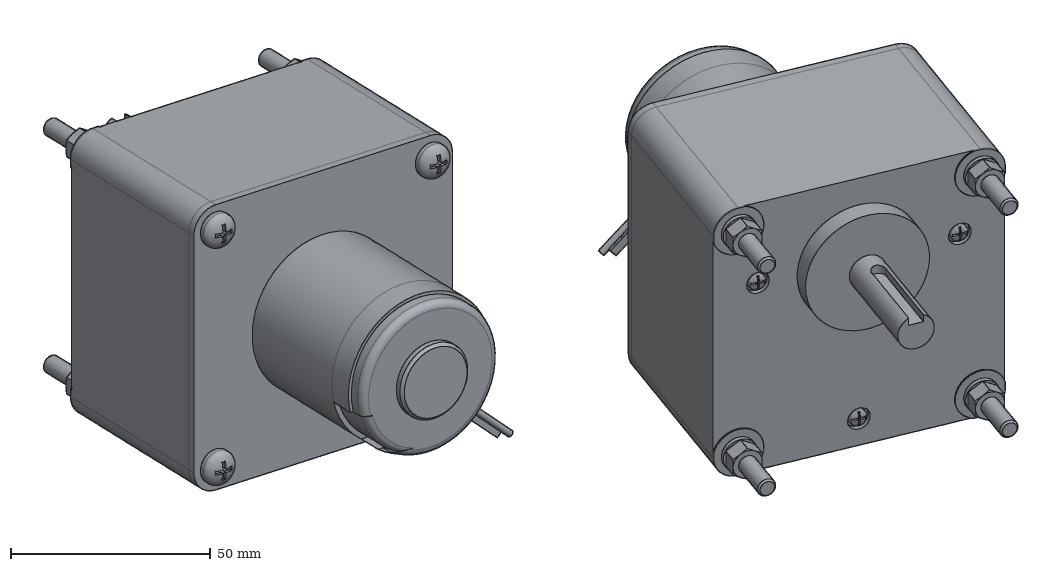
import cadquery as cq
import math

box_side = 80.0
box_corner_radius = 6.75
housing_length = 50.5
cover_thickness = 2.1
box_back = housing_length + cover_thickness

shaft_offset_z = 15.0
flange_diameter = 34.0
flange_thickness = 5.3
shaft_diameter = 10.0
shaft_length = 30.0
shaft_tip = -flange_thickness - shaft_length
keyway_length = 25.0
keyway_width = 4.0
keyway_depth = 2.5

bolt_offset = box_side / 2 - box_corner_radius
pad_diameter = 14.0
pad_height = 0.4
washer_diameter = 9.4
washer_thickness = 1.2
washer_slit_width = 0.8
washer_slit_tilt = 20.0
washer_slit_drop = 0.4
nut_across_flats = 8.0
nut_thickness = 4.5
nut_chamfer_angle = 20.0
stud_diameter = 5.0
stud_protrusion = 12.2
stud_chamfer = 0.5
pan_head_diameter = 9.5
pan_head_rim = 1.2
pan_head_height = 3.8
pan_slot_length = 5.0
pan_slot_width = 1.0
pan_slot_depth = 1.0

screw_circle_radius = 32.0
screw_angles = (30.0, 150.0, 270.0)
screw_recess_diameter = 6.2
screw_recess_depth = 1.5
screw_head_diameter = 4.8
screw_head_protrusion = 0.3
screw_dome_height = 0.7
screw_slot_length = 4.0
screw_slot_width = 0.5
screw_slot_depth = 0.9

motor_radius = 22.0
can_length = 34.2
ring_length = 7.1
cap_radius = 21.1
cap_length = 4.6
cap_rounding = 2.0
boss_radius = 10.5
boss_length = 2.3
boss_chamfer = 0.8
ring_start = box_back + can_length
cap_start = ring_start + ring_length
cap_end = cap_start + cap_length

window_top_z = -5.0
window_bottom_z = -17.8
window_radius = 20.6

terminal_angle = -42.0
terminal_diameter = 1.9
terminal_tip_radius = 41.5
terminal_setback = 3.1
terminal_x = ring_start + terminal_setback
terminal_tab_thickness = 1.0
terminal_tab_width = 2.5
terminal_tab_shift = 1.4
terminal_tab_overlap = 0.1
terminal_tab_tip_radius = 39.5


def disc(x_start, length, diameter, y=0.0, z=0.0):
    """Cylinder along +X."""
    return cq.Workplane("YZ", origin=(x_start, y, z)).circle(diameter / 2).extrude(length)


def cross(x_start, depth, length, width, y, z):
    """Cross-shaped recess body along +X."""
    plane = cq.Workplane("YZ", origin=(x_start, y, z))
    return plane.rect(length, width).extrude(depth).union(plane.rect(width, length).extrude(depth))


def domed_head(base_radius, height):
    """Half-ellipsoid dome with its base at X = 0, rising along +X."""
    return (
        cq.Workplane("XY")
        .ellipseArc(height, base_radius, 0, 90, startAtCurrent=False)
        .lineTo(0, 0)
        .close()
        .revolve(360, (0, 0, 0), (1, 0, 0))
    )


def make_box():
    def slab(x_start, length):
        profile = cq.Workplane("YZ", origin=(x_start, 0, 0)).rect(box_side, box_side)
        return profile.extrude(length).edges("|X").fillet(box_corner_radius)

    return slab(0, housing_length).union(slab(housing_length, cover_thickness), clean=False)


def make_output_shaft():
    flange = disc(-flange_thickness, flange_thickness, flange_diameter, z=shaft_offset_z)
    shaft = disc(shaft_tip, shaft_length, shaft_diameter, z=shaft_offset_z)
    keyway_floor = shaft_offset_z + shaft_diameter / 2 - keyway_depth
    straight_length = keyway_length - keyway_width / 2
    keyway = (
        cq.Workplane("XY", origin=(shaft_tip, 0, keyway_floor))
        .moveTo(0, keyway_width / 2)
        .lineTo(straight_length, keyway_width / 2)
        .threePointArc((keyway_length, 0), (straight_length, -keyway_width / 2))
        .lineTo(0, -keyway_width / 2)
        .close()
        .extrude(keyway_depth)
    )
    return flange.union(shaft.cut(keyway))


def make_pad(y, z):
    """Round pad trimmed to the rounded outline of the box."""
    pad = disc(-pad_height, pad_height, pad_diameter, y, z)
    outline = (
        cq.Workplane("YZ", origin=(-pad_height, 0, 0))
        .rect(box_side, box_side)
        .extrude(pad_height)
        .edges("|X")
        .fillet(box_corner_radius)
    )
    return pad.intersect(outline)


def make_spring_washer(x_start, y, z):
    washer = disc(x_start, washer_thickness, washer_diameter, y, z)
    slit_depth = (washer_diameter - stud_diameter) / 2
    slit_x = x_start + washer_thickness / 2
    slit_y = y - (washer_diameter - slit_depth) / 2
    slit = (
        cq.Workplane("XY")
        .box(2 * washer_thickness, slit_depth, washer_slit_width)
        .rotate((0, 0, 0), (0, 1, 0), washer_slit_tilt)
        .translate((slit_x, slit_y, z - washer_slit_drop))
    )
    limits = disc(x_start, washer_thickness, 2 * washer_diameter, y, z)
    return washer.cut(slit.intersect(limits))


def make_nut(x_start, y, z):
    """Hexagon nut with two corners on Z and a chamfered outer face."""
    corner_radius = nut_across_flats / math.sqrt(3)
    flat_radius = nut_across_flats / 2
    chamfer_length = (corner_radius - flat_radius) * math.tan(math.radians(nut_chamfer_angle))
    hexagon = (
        cq.Workplane("YZ")
        .polygon(6, 2 * corner_radius)
        .extrude(nut_thickness)
        .rotate((0, 0, 0), (1, 0, 0), 90)
    )
    envelope = (
        cq.Workplane("XY")
        .polyline([
            (0, 0),
            (0, flat_radius),
            (chamfer_length, corner_radius),
            (nut_thickness, corner_radius),
            (nut_thickness, 0),
        ])
        .close()
        .revolve(360, (0, 0, 0), (1, 0, 0))
    )
    return hexagon.intersect(envelope).translate((x_start, y, z))


def make_bolt(y, z):
    washer_start = -pad_height - washer_thickness
    nut_start = washer_start - nut_thickness
    stud_start = nut_start - stud_protrusion
    stud = disc(stud_start, -stud_start, stud_diameter, y, z).faces("<X").chamfer(stud_chamfer)
    rim = disc(box_back, pan_head_rim, pan_head_diameter, y, z)
    dome = domed_head(pan_head_diameter / 2, pan_head_height - pan_head_rim)
    dome = dome.translate((box_back + pan_head_rim, y, z))
    slot_start = box_back + pan_head_height - pan_slot_depth
    slot = cross(slot_start, pan_slot_depth, pan_slot_length, pan_slot_width, y, z)
    return (
        stud.union(make_pad(y, z))
        .union(make_spring_washer(washer_start, y, z))
        .union(make_nut(nut_start, y, z))
        .union(rim.union(dome, clean=False).cut(slot), clean=False)
    )


def make_front_screw(y, z):
    """Domed cross-slotted head standing in its recess."""
    tip = -screw_head_protrusion
    dome_base = tip + screw_dome_height
    dome = (
        domed_head(screw_head_diameter / 2, screw_dome_height)
        .rotate((0, 0, 0), (0, 0, 1), 180)
        .translate((dome_base, y, z))
    )
    shank = disc(dome_base, screw_recess_depth - dome_base, screw_head_diameter, y, z)
    slot = cross(tip, screw_slot_depth, screw_slot_length, screw_slot_width, y, z)
    return shank.union(dome).cut(slot)


def make_motor():
    can = disc(box_back, can_length, 2 * motor_radius)
    ring = disc(ring_start, ring_length, 2 * motor_radius)
    cap = disc(cap_start, cap_length, 2 * cap_radius).faces(">X").edges().fillet(cap_rounding)
    boss = disc(cap_end, boss_length, 2 * boss_radius).faces(">X").edges().chamfer(boss_chamfer)
    return can.union(ring.union(cap).cut(make_ring_window()), clean=False).union(boss, clean=False)


def make_ring_window():
    """Shallow cut into the end ring and cap between two levels, down to a smaller rounded drum."""
    window_length = cap_end - ring_start
    slab = cq.Workplane("XY").box(
        window_length, motor_radius, window_top_z - window_bottom_z, centered=False
    ).translate((ring_start, -motor_radius, window_bottom_z))
    drum = disc(ring_start, window_length, 2 * window_radius).faces(">X").edges().fillet(cap_rounding)
    return slab.cut(drum)


def make_terminal():
    """Round terminal with a shorter flat tab on its front side, both pointing outward."""
    root_radius = cap_radius - cap_rounding
    wire = (
        cq.Workplane("XZ", origin=(terminal_x, root_radius, 0))
        .circle(terminal_diameter / 2)
        .extrude(root_radius - terminal_tip_radius)
    )
    tab_length = terminal_tab_tip_radius - root_radius
    tab = cq.Workplane("XY").box(terminal_tab_thickness, tab_length, terminal_tab_width).translate((
        terminal_x - (terminal_diameter + terminal_tab_thickness) / 2 + terminal_tab_overlap,
        root_radius + tab_length / 2,
        -terminal_tab_shift,
    ))
    return wire.union(tab).rotate((0, 0, 0), (1, 0, 0), terminal_angle)


result = make_box().union(make_output_shaft(), clean=False)
for angle in screw_angles:
    screw_y = screw_circle_radius * math.cos(math.radians(angle))
    screw_z = screw_circle_radius * math.sin(math.radians(angle))
    result = result.cut(disc(0, screw_recess_depth, screw_recess_diameter, screw_y, screw_z), clean=False)
    result = result.union(make_front_screw(screw_y, screw_z), clean=False)
for bolt_y in (-bolt_offset, bolt_offset):
    for bolt_z in (-bolt_offset, bolt_offset):
        result = result.union(make_bolt(bolt_y, bolt_z), clean=False)
result = result.union(make_motor(), clean=False).union(make_terminal(), clean=False)